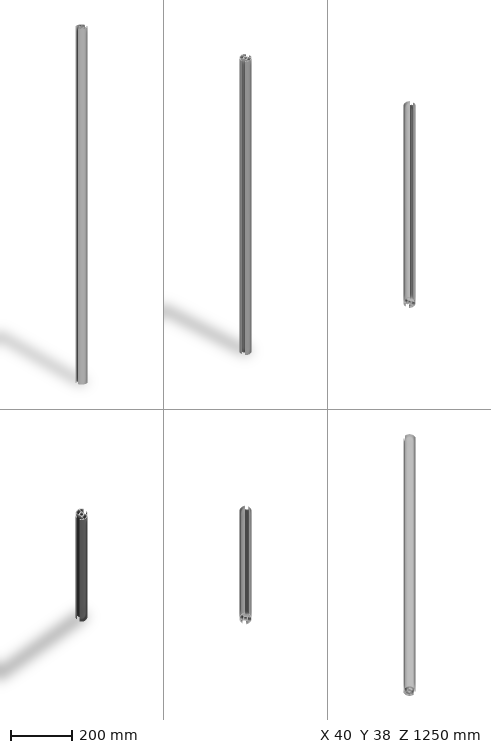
import cadquery as cq
import math

profile_length = 1250.0
outer_diameter = 40.0
skin_thickness = 2.2
height_at_mouths = 38.0

slot_floor = 8.3
slot_ceiling = 15.0
undercut_width = 26.0
floor_groove_width = 4.0
floor_groove_depth = 1.5

chamber_inner_wall = 8.0
chamber_height = 14.0
bore_diameter = 10.4

outer_radius = outer_diameter / 2
skin_inner_radius = outer_radius - skin_thickness
mouth_width = 2 * math.sqrt(outer_radius**2 - (height_at_mouths / 2) ** 2)


def cylinder(radius):
    """Full-length cylinder on the axis."""
    return cq.Workplane("XY").circle(radius).extrude(profile_length)


def channel(inner, outer, width):
    """Full-length bar on the +X side, from inner to outer in X and centred in Y."""
    middle = (inner + outer) / 2
    return cq.Workplane("XY").center(middle, 0).rect(outer - inner, width).extrude(profile_length)


def t_slot():
    """Space of one slot: mouth, undercut behind the lips and groove in the floor."""
    mouth = channel(slot_floor, outer_radius, mouth_width)
    undercut = channel(slot_floor, slot_ceiling, undercut_width).intersect(cylinder(skin_inner_radius))
    groove = channel(slot_floor - floor_groove_depth, slot_floor, floor_groove_width)
    return mouth.union(undercut).union(groove)


def chamber():
    """Space of one closed chamber, bounded outside by the round skin."""
    return channel(chamber_inner_wall, outer_radius, chamber_height).intersect(cylinder(skin_inner_radius))


def turned(shape, angle):
    """Shape turned about the axis by an angle in degrees."""
    return shape.rotate((0, 0, 0), (0, 0, 1), angle)


profile = cylinder(outer_radius).cut(cylinder(bore_diameter / 2))
for side_angle in (0, 180):
    profile = profile.cut(turned(chamber(), side_angle))
    profile = profile.cut(turned(t_slot(), side_angle + 90))

result = profile